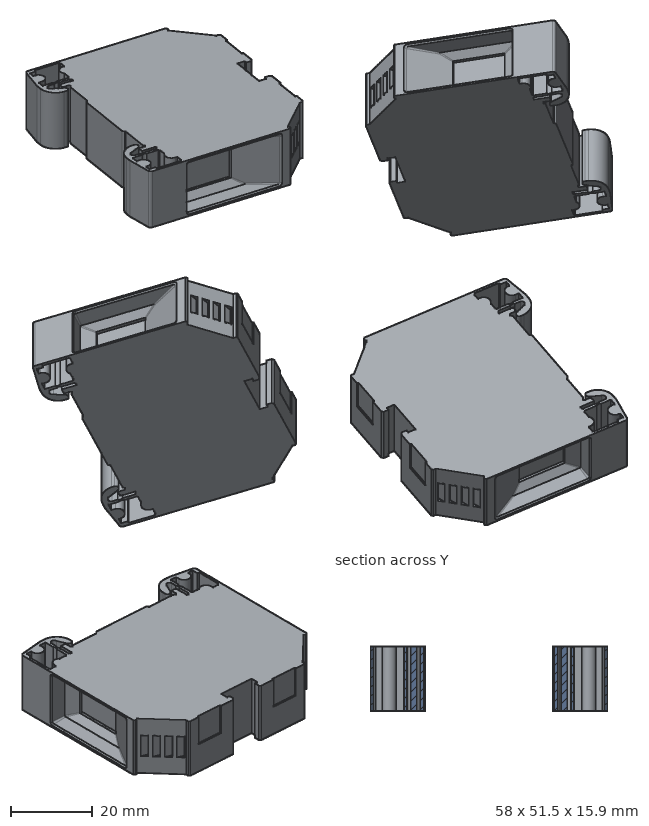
import cadquery as cq

LENGTH = 58.0
HEIGHT = 51.5
THICKNESS = 15.9
HALF_LENGTH = LENGTH / 2
HALF_THICKNESS = THICKNESS / 2

CHANNEL_HALF_WIDTH = 5.05
CHANNEL_FLOOR_Y = 47.55
LIP_OVERHANG = 0.8
LIP_UNDERSIDE_Y = 49.65
SHOULDER_X = 9.55
SHOULDER_CORNER = 0.35
LIP_CORNER = 0.45
RECESS_START_X = 12.8
RECESS_LENGTH = 7.4
RECESS_DEPTH = 0.4

SLOPE_LOW = (1.15, 41.65)
SLOPE_HIGH = (SHOULDER_X, 50.4)
SIDE_TOP_Y = 42.0
SIDE_CORNER = 0.35

BASE_Y = 6.6
CENTRE_PAD_Y = 6.05
CENTRE_PAD_X = 20.9
PAD_STEP_X = 20.05
PAD_STEP_ARC = [(20.5, 6.15), (20.25, 6.45)]
TAB_BOTTOM_Y = 5.0
TAB_INNER_X = 11.3
TAB_OUTER_X = 9.8
RELIEF_WIDTH = 0.85
RELIEF_TOP_Y = 7.0

WEB_TOP_Y = 8.95
WEB_INNER_X = 8.95
WEB_OUTER_X = 8.1
WEB_CORNER = 0.3
NECK_Y = 4.65
NECK_DEPTH = 0.25
NECK_LENGTH = 1.3
HOOK_ROOT_ARC = [(WEB_INNER_X, 2.45), (9.7, 1.75), (10.55, 2.45)]
HOOK_TIP_ARC = [(11.85, 5.3), (12.2, 5.55), (12.5, 5.7), (13.15, 5.45), (13.35, 4.9)]
HOOK_BACK_ARC = [(13.35, 4.05), (12.1, 1.35), (9.0, 0)]
FOOT_FLAT_X = 7.4
FOOT_CORNER_ARC = [(0.75, 1.1), (0.25, 1.35), (0, 1.85)]
WINDOW_LEFT_X = 0.7
WINDOW_TOP_Y = 10.8
WINDOW_BOTTOM_Y = 1.2
WINDOW_CORNER = 0.3
WINDOW_STEP = 0.6
WINDOW_STEP_Y = 3.55
STUD_X = 4.5
STUD_RADIUS = 1.75
UPPER_STUD_Y = 10.2
LOWER_STUD_Y = 2.2

RIM_DEPTH = 0.4
RIM_UPPER_Y = 38.8
BOX_LOWER_Y = 12.0
BOX_DEPTH = 4.6
THROAT_DEPTH = 6.3
THROAT_LOWER_Y = 15.5
THROAT_UPPER_Y = 28.55
THROAT_HALF_WIDTH = 5.05
THROAT_CORNER = 0.2
FLOOR_DEPTH = 7.1
WALL_RUN_PER_DEPTH = (RIM_UPPER_Y - THROAT_UPPER_Y) / (THROAT_DEPTH - RIM_DEPTH)
BOX_UPPER_Y = THROAT_UPPER_Y + (THROAT_DEPTH - BOX_DEPTH) * WALL_RUN_PER_DEPTH
FUNNEL_SECTIONS = [
    (0.0, 11.8, 39.3, 7.4, 0.85),
    (RIM_DEPTH, BOX_LOWER_Y, RIM_UPPER_Y, 7.0, 0.5),
    (BOX_DEPTH, BOX_LOWER_Y, BOX_UPPER_Y, 6.9, 0.3),
    (THROAT_DEPTH, THROAT_LOWER_Y, THROAT_UPPER_Y, THROAT_HALF_WIDTH, THROAT_CORNER),
    (FLOOR_DEPTH, THROAT_LOWER_Y, THROAT_UPPER_Y, THROAT_HALF_WIDTH, THROAT_CORNER),
]

VENT_COUNT = 4
VENT_FIRST_Y = 42.35
VENT_PITCH_Y = 2.15
VENT_RISE = 1.35
VENT_LENGTH = 6.05
VENT_WALL_RISE = 0.65


def plane_at(z):
    return cq.Workplane("XY", origin=(0, 0, z))


def make_half_body():
    """Extrude the half outline, from the centre underside round the foot to the channel."""
    lip_x = HALF_LENGTH - CHANNEL_HALF_WIDTH + LIP_OVERHANG
    channel_x = HALF_LENGTH - CHANNEL_HALF_WIDTH
    outline = (
        plane_at(-HALF_THICKNESS)
        .moveTo(HALF_LENGTH, CENTRE_PAD_Y)
        .lineTo(CENTRE_PAD_X, CENTRE_PAD_Y)
        .threePointArc(*PAD_STEP_ARC)
        .lineTo(PAD_STEP_X, BASE_Y)
        .lineTo(TAB_INNER_X + RELIEF_WIDTH, BASE_Y)
        .threePointArc((TAB_INNER_X + RELIEF_WIDTH / 2, RELIEF_TOP_Y), (TAB_INNER_X, BASE_Y))
        .lineTo(TAB_INNER_X, TAB_BOTTOM_Y)
        .lineTo(TAB_OUTER_X, TAB_BOTTOM_Y)
        .lineTo(TAB_OUTER_X, WEB_TOP_Y)
        .lineTo(WEB_INNER_X + WEB_CORNER, WEB_TOP_Y)
        .lineTo(WEB_INNER_X, WEB_TOP_Y - WEB_CORNER)
        .lineTo(*HOOK_ROOT_ARC[0])
        .threePointArc(*HOOK_ROOT_ARC[1:])
        .lineTo(*HOOK_TIP_ARC[0])
        .threePointArc(*HOOK_TIP_ARC[1:3])
        .threePointArc(*HOOK_TIP_ARC[3:])
        .lineTo(*HOOK_BACK_ARC[0])
        .threePointArc(*HOOK_BACK_ARC[1:])
        .lineTo(FOOT_FLAT_X, 0)
        .lineTo(*FOOT_CORNER_ARC[0])
        .threePointArc(*FOOT_CORNER_ARC[1:])
        .lineTo(0, SIDE_TOP_Y - SIDE_CORNER)
        .lineTo(SIDE_CORNER, SIDE_TOP_Y)
        .lineTo(SLOPE_LOW[0] - SIDE_CORNER, SIDE_TOP_Y)
        .lineTo(*SLOPE_LOW)
        .lineTo(*SLOPE_HIGH)
        .lineTo(SHOULDER_X, HEIGHT - SHOULDER_CORNER)
        .lineTo(SHOULDER_X + SHOULDER_CORNER, HEIGHT)
        .lineTo(lip_x - LIP_CORNER, HEIGHT)
        .lineTo(lip_x, HEIGHT - LIP_CORNER)
        .lineTo(lip_x, LIP_UNDERSIDE_Y)
        .lineTo(channel_x, LIP_UNDERSIDE_Y)
        .lineTo(channel_x, CHANNEL_FLOOR_Y)
        .lineTo(HALF_LENGTH, CHANNEL_FLOOR_Y)
        .close()
    )
    return outline.extrude(THICKNESS)


def make_stud(centre_y, root_y):
    """Round-nosed rib standing on the window edge at root_y."""
    nose = plane_at(-HALF_THICKNESS).center(STUD_X, centre_y).circle(STUD_RADIUS)
    root = (
        plane_at(-HALF_THICKNESS)
        .center(STUD_X, (centre_y + root_y) / 2)
        .rect(2 * STUD_RADIUS, abs(root_y - centre_y))
    )
    return nose.extrude(THICKNESS).union(root.extrude(THICKNESS))


def make_foot_window():
    """Through opening in the foot, less the two facing studs."""
    window = (
        plane_at(-HALF_THICKNESS)
        .moveTo(WINDOW_LEFT_X, WINDOW_TOP_Y - WINDOW_CORNER)
        .lineTo(WINDOW_LEFT_X + WINDOW_CORNER, WINDOW_TOP_Y)
        .lineTo(STUD_X, WINDOW_TOP_Y)
        .lineTo(STUD_X, WEB_TOP_Y)
        .lineTo(WEB_OUTER_X - WINDOW_CORNER, WEB_TOP_Y)
        .lineTo(WEB_OUTER_X, WEB_TOP_Y - WINDOW_CORNER)
        .lineTo(WEB_OUTER_X, WINDOW_BOTTOM_Y)
        .lineTo(STUD_X, WINDOW_BOTTOM_Y)
        .lineTo(STUD_X, WINDOW_BOTTOM_Y + WINDOW_STEP)
        .lineTo(WINDOW_LEFT_X + WINDOW_STEP, WINDOW_BOTTOM_Y + WINDOW_STEP)
        .lineTo(WINDOW_LEFT_X + WINDOW_STEP, WINDOW_STEP_Y)
        .lineTo(WINDOW_LEFT_X, WINDOW_STEP_Y)
        .close()
        .extrude(THICKNESS)
    )
    upper_stud = make_stud(UPPER_STUD_Y, WINDOW_TOP_Y)
    lower_stud = make_stud(LOWER_STUD_Y, WINDOW_BOTTOM_Y)
    return window.cut(upper_stud).cut(lower_stud)


def make_neck_groove(face_x, inward):
    """Shallow round groove in one face of the web; inward is +1 or -1 along X."""
    half_length = NECK_LENGTH / 2
    return (
        plane_at(-HALF_THICKNESS)
        .moveTo(face_x, NECK_Y - half_length)
        .threePointArc((face_x + inward * NECK_DEPTH, NECK_Y), (face_x, NECK_Y + half_length))
        .close()
        .extrude(THICKNESS)
    )


def funnel_section(depth, low_y, high_y, half_width, corner_radius):
    """Rounded rectangle across the funnel at the given depth from the outer side."""
    section = cq.Sketch().rect(high_y - low_y, 2 * half_width).vertices().fillet(corner_radius)
    return section.moved(cq.Location(cq.Vector((low_y + high_y) / 2, 0, depth)))


def make_funnel():
    """Wire entry: chamfered rim, box with one sloping wall, taper, then a straight throat with a flat floor."""
    sections = [funnel_section(*sizes) for sizes in FUNNEL_SECTIONS]
    return cq.Workplane("YZ").placeSketch(*sections).loft(ruled=True)


def make_vents():
    """V-grooves whose upper wall stands square to the sloping face."""
    slope_run = SLOPE_HIGH[0] - SLOPE_LOW[0]
    slope_rise = SLOPE_HIGH[1] - SLOPE_LOW[1]
    run_per_rise = slope_run / slope_rise
    vents = cq.Workplane("XY")
    for index in range(VENT_COUNT):
        low_y = VENT_FIRST_Y + index * VENT_PITCH_Y
        low_x = SLOPE_LOW[0] + (low_y - SLOPE_LOW[1]) * run_per_rise
        high_x = low_x + VENT_RISE * run_per_rise
        high_y = low_y + VENT_RISE
        bottom = (high_x + VENT_WALL_RISE / run_per_rise, high_y - VENT_WALL_RISE)
        corners = [(low_x, low_y), (high_x, high_y), bottom]
        groove = plane_at(-VENT_LENGTH / 2).polyline(corners).close()
        vents = vents.add(groove.extrude(VENT_LENGTH))
    return vents.combine()


def make_marker_recess():
    """Shallow recess in the shoulder, open at the +Z face and ending at mid thickness."""
    recess = cq.Workplane("XY").box(RECESS_LENGTH, RECESS_DEPTH, HALF_THICKNESS, centered=False)
    return recess.translate((RECESS_START_X, HEIGHT - RECESS_DEPTH, 0))


half = (
    make_half_body()
    .cut(make_foot_window())
    .cut(make_neck_groove(WEB_OUTER_X, 1))
    .cut(make_neck_groove(WEB_INNER_X, -1))
    .cut(make_funnel())
    .cut(make_vents())
    .cut(make_marker_recess())
    .translate((-HALF_LENGTH, 0, 0))
)
result = half.union(half.mirror("YZ")).clean()